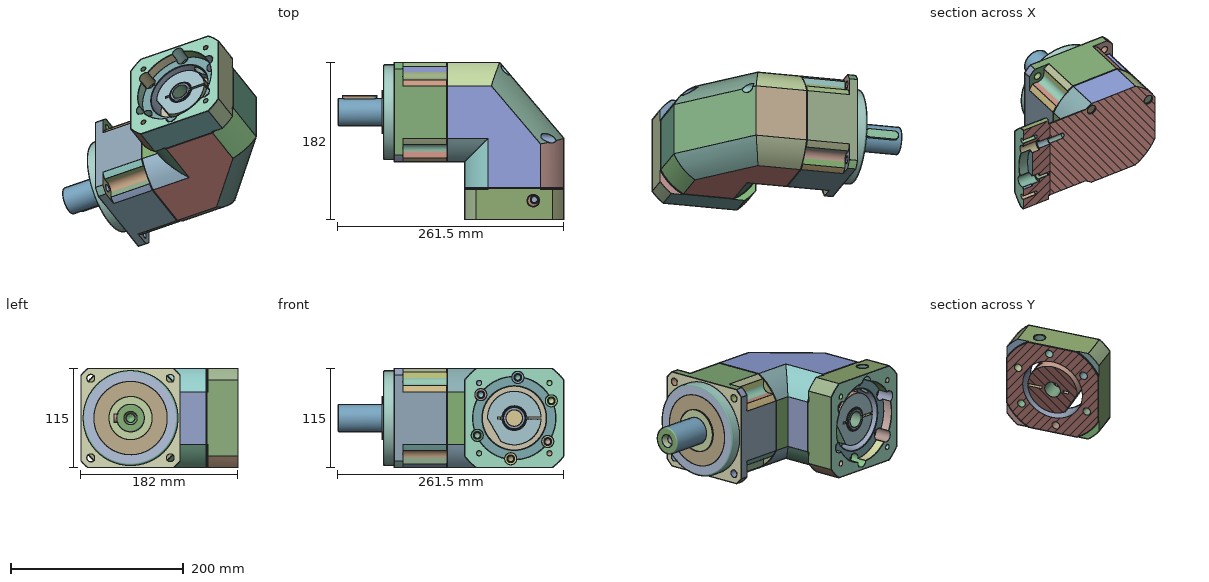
import cadquery as cq
import math


HALF = 57.5
BODY_RADIUS = 65.0
FLANGE_RADIUS = 76.0
ADAPTER_RADIUS = 72.5
EDGE_CHAMFER = 0.5
FACE_CHAMFER = 0.3

SHAFT_TIP_X = -204.0
SHOULDER_X = SHAFT_TIP_X + 51.0
PILOT_X = SHAFT_TIP_X + 52.5
FLANGE_X = SHAFT_TIP_X + 65.0
FLANGE_BACK_X = FLANGE_X + 10.0
JOINT_X = SHAFT_TIP_X + 126.0

JOINT_Y = -88.0
FRONT_Y = -124.5

SHAFT_RADIUS = 16.0
SHAFT_FILLET = 1.5
SHOULDER_RADIUS = 25.0
SHAFT_END_X = FLANGE_BACK_X
CENTRE_MOUTH_RADIUS = 7.7
CENTRE_MOUTH_DEPTH = 2.1
CENTRE_TAPER_RADIUS = 6.8
CENTRE_TAPER_END = 7.0
CENTRE_THREAD_RADIUS = 5.1
CENTRE_THREAD_DEPTH = 28.0
KEY_LENGTH = 40.0
KEY_WIDTH = 10.0
KEY_START = 5.0
KEY_SEAT = 11.0
KEY_TOP = 19.0

PILOT_RADIUS = 55.0
PILOT_FILLET = 2.0
SEAL_RECESS_RADIUS = 42.5
SEAL_RECESS_DEPTH = 0.2
BOLT_OFFSET = 46.0
BOLT_HOLE_RADIUS = 4.5
BOLT_POCKET_RADIUS = 8.5

SLANT_START = (-16.8, HALF)
SLANT_END = (HALF, -30.2)
SLANT_RADIUS = 67.6
SLANT_CORNER = -0.6
BACK_BORE_RADIUS = 5.5
BACK_BORE_CIRCLE = 57.0
BACK_BORE_ANGLES = (32.0, 122.0)
BACK_BORE_FLOOR_X = -40.0
TAPPED_RADIUS = 3.4
TAPPED_DEPTH = 18.0

ADAPTER_NECK = 1.4
MOTOR_PILOT_RADIUS = 48.0
MOTOR_PILOT_DEPTH = 12.0
CLAMP_SPACE_RADIUS = 37.0
SCREW_CIRCLE = 47.3
SCREW_COUNT = 6
SCREW_START_ANGLE = 25.0
SCREW_HEAD_RADIUS = 7.0
SCREW_HEAD_DEPTH = 22.0
SCREW_HOLE_RADIUS = 4.5
MOTOR_HOLE_OFFSET = 40.7
MOTOR_HOLE_RADIUS = 3.0
MOTOR_HOLE_DEPTH = 18.0
ACCESS_X = 22.0
ACCESS_Y = -102.5
ACCESS_RADIUS = 6.6
ACCESS_CHAMFER = 0.6

CLAMP_RADIUS = 31.0
CLAMP_FACE_Y = -109.8
CLAMP_FLAT_ANGLE = 210.0
CLAMP_FLAT_HALF_SPAN = math.radians(30)
CLAMP_FLAT_DISTANCE = CLAMP_RADIUS * math.cos(CLAMP_FLAT_HALF_SPAN)
CLAMP_SLIT = 2.5
CLAMP_SLIT_REACH = 19.7
CLAMP_SCREW_X = 23.2
CLAMP_SCREW_Y = -101.3
CLAMP_SCREW_RADIUS = 3.6
CLAMP_HEAD_RADIUS = 4.6
CLAMP_HEAD_FLOOR_Z = 10.0
STEM_RADIUS = 15.8
STEM_END_Y = -60.0
SLEEVE_RADIUS = 13.3
SLEEVE_CHAMFER = 1.0
SLEEVE_FACE_Y = -111.2
HUB_BORE_RADIUS = 9.5
HUB_BORE_DEPTH = 40.0

DRILL_POINT_ANGLE = math.radians(59)
CUT_MARGIN = 5.0


def x_plane(x):
    """Plane across the output axis, facing +X, with local axes along Y and Z."""
    return cq.Workplane("YZ", origin=(x, 0, 0))


def y_plane(y):
    """Plane across the input axis, facing -Y, with local axes along X and Z."""
    return cq.Workplane("XZ", origin=(0, y, 0))


def turned_square(plane, length, radius):
    """Square bar whose corners are turned down to the given radius."""
    bar = plane.rect(2 * HALF, 2 * HALF).extrude(length)
    return bar.intersect(plane.circle(radius).extrude(length))


def drill(plane, points, radius, depth):
    """Blind holes with conical bottoms, drilled against the plane's normal."""
    tip = radius / math.tan(DRILL_POINT_ANGLE)
    normal = plane.plane.zDir
    holes = []
    for x, y in points:
        start = plane.plane.toWorldCoords((x, y, 0))
        bottom = plane.plane.toWorldCoords((x, y, -depth))
        hole = cq.Solid.makeCylinder(radius, depth, start, -normal)
        cone = cq.Solid.makeCone(radius, 0, tip, bottom, -normal)
        holes.append(hole.fuse(cone))
    return cq.Workplane(cq.Compound.makeCompound(holes))


def mouth_cone(y, radius, chamfer):
    """Cutter for a 45 degree chamfer at the -Y mouth of a bore on the input axis."""
    start = cq.Vector(0, y, 0)
    return cq.Workplane(cq.Solid.makeCone(radius + chamfer, radius, chamfer, start, cq.Vector(0, 1, 0)))


def square_points(offset):
    return [(x, y) for x in (-offset, offset) for y in (-offset, offset)]


def circle_points(radius, angles):
    return [(radius * math.cos(math.radians(a)), radius * math.sin(math.radians(a))) for a in angles]


SCREW_ANGLES = [SCREW_START_ANGLE + i * 360 / SCREW_COUNT for i in range(SCREW_COUNT)]
SCREW_POINTS = circle_points(SCREW_CIRCLE, SCREW_ANGLES)


def make_key():
    centre_x = SHAFT_TIP_X + KEY_START + KEY_LENGTH / 2
    plane = cq.Workplane("XZ", origin=(centre_x, KEY_TOP, 0))
    return plane.slot2D(KEY_LENGTH, KEY_WIDTH).extrude(KEY_TOP - KEY_SEAT)


def make_shaft(key):
    shaft = x_plane(SHAFT_TIP_X).circle(SHAFT_RADIUS).extrude(SHAFT_END_X - SHAFT_TIP_X)
    shaft = shaft.faces("<X").fillet(SHAFT_FILLET)
    shaft = shaft.union(x_plane(SHOULDER_X).circle(SHOULDER_RADIUS).extrude(SHAFT_END_X - SHOULDER_X))
    thread_end = SHAFT_TIP_X + CENTRE_THREAD_DEPTH
    centre_hole = (
        cq.Workplane("XY")
        .moveTo(SHAFT_TIP_X, 0)
        .lineTo(SHAFT_TIP_X, CENTRE_MOUTH_RADIUS)
        .lineTo(SHAFT_TIP_X + CENTRE_MOUTH_DEPTH, CENTRE_TAPER_RADIUS)
        .lineTo(SHAFT_TIP_X + CENTRE_TAPER_END, CENTRE_THREAD_RADIUS)
        .lineTo(thread_end, CENTRE_THREAD_RADIUS)
        .lineTo(thread_end + CENTRE_THREAD_RADIUS / math.tan(DRILL_POINT_ANGLE), 0)
        .close()
        .revolve(360, (0, 0, 0), (1, 0, 0))
    )
    return shaft.cut(centre_hole).cut(key)


def bolt_pocket():
    """Corner pocket behind one flange bolt: square walls with a round inner corner."""
    wall = BOLT_OFFSET - BOLT_POCKET_RADIUS
    arc_middle = BOLT_OFFSET - BOLT_POCKET_RADIUS * math.sqrt(0.5)
    outside = HALF + CUT_MARGIN
    return (
        x_plane(FLANGE_BACK_X)
        .moveTo(BOLT_OFFSET, wall)
        .lineTo(outside, wall)
        .lineTo(outside, outside)
        .lineTo(wall, outside)
        .lineTo(wall, BOLT_OFFSET)
        .threePointArc((arc_middle, arc_middle), (BOLT_OFFSET, wall))
        .close()
        .extrude(JOINT_X - FLANGE_BACK_X)
    )


def make_output_housing():
    flange = turned_square(x_plane(FLANGE_X), FLANGE_BACK_X - FLANGE_X, FLANGE_RADIUS)
    flange = flange.faces("<X").chamfer(FACE_CHAMFER)
    barrel = turned_square(x_plane(FLANGE_BACK_X), JOINT_X - FLANGE_BACK_X, BODY_RADIUS)
    barrel = barrel.faces(">X").chamfer(EDGE_CHAMFER)
    pilot = x_plane(PILOT_X).circle(PILOT_RADIUS).extrude(FLANGE_X - PILOT_X)
    pilot = pilot.faces("<X").fillet(PILOT_FILLET)
    pilot = pilot.cut(x_plane(PILOT_X).circle(SEAL_RECESS_RADIUS).extrude(SEAL_RECESS_DEPTH))
    housing = barrel.union(flange).union(pilot)

    for i in range(4):
        housing = housing.cut(bolt_pocket().rotate((0, 0, 0), (1, 0, 0), 90 * i))
    bolt_holes = x_plane(FLANGE_X).pushPoints(square_points(BOLT_OFFSET)).circle(BOLT_HOLE_RADIUS)
    housing = housing.cut(bolt_holes.extrude(FLANGE_BACK_X - FLANGE_X))
    shaft_bore = x_plane(PILOT_X).circle(SHOULDER_RADIUS).extrude(SHAFT_END_X - PILOT_X)
    return housing.cut(shaft_bore)


def rounded_side(outward, centre, radius, reach):
    """Long slab of full height whose side towards `outward` is flat at `reach` and
    has its top and bottom edges rounded about an axis at distance `centre`."""
    length = 8 * HALF
    run = cq.Vector(-outward[1], outward[0], 0)
    start = run * (-length / 2)
    plane = cq.Plane(origin=start.toTuple(), xDir=(outward[0], outward[1], 0), normal=run.toTuple())
    corner = centre + math.sqrt(radius**2 - HALF**2)
    flat_height = math.sqrt(radius**2 - (reach - centre) ** 2)
    middle_angle = (math.asin(HALF / radius) + math.asin(flat_height / radius)) / 2
    middle = (centre + radius * math.cos(middle_angle), radius * math.sin(middle_angle))
    return (
        cq.Workplane(plane)
        .moveTo(-length, HALF)
        .lineTo(corner, HALF)
        .threePointArc(middle, (reach, flat_height))
        .lineTo(reach, -flat_height)
        .threePointArc((middle[0], -middle[1]), (corner, -HALF))
        .lineTo(-length, -HALF)
        .close()
        .extrude(length)
    )


def make_elbow():
    elbow = rounded_side((0, -1), 0, BODY_RADIUS, HALF).union(rounded_side((-1, 0), 0, BODY_RADIUS, HALF))
    elbow = elbow.intersect(rounded_side((0, 1), 0, BODY_RADIUS, HALF))
    elbow = elbow.intersect(rounded_side((1, 0), 0, BODY_RADIUS, HALF))
    slant_x = SLANT_END[0] - SLANT_START[0]
    slant_y = SLANT_END[1] - SLANT_START[1]
    slant_length = math.hypot(slant_x, slant_y)
    outward = (-slant_y / slant_length, slant_x / slant_length)
    reach = outward[0] * SLANT_START[0] + outward[1] * SLANT_START[1]
    slant_centre = SLANT_CORNER - math.sqrt(SLANT_RADIUS**2 - HALF**2)
    elbow = elbow.intersect(rounded_side(outward, slant_centre, SLANT_RADIUS, reach))
    ends = cq.Workplane("XY").box(HALF - JOINT_X, HALF - JOINT_Y, 2 * HALF)
    elbow = elbow.intersect(ends.translate(((HALF + JOINT_X) / 2, (HALF + JOINT_Y) / 2, 0)))
    elbow = elbow.faces("<X").chamfer(EDGE_CHAMFER)
    elbow = elbow.faces("<Y").chamfer(EDGE_CHAMFER)

    back_bores = x_plane(BACK_BORE_FLOOR_X).pushPoints(circle_points(BACK_BORE_CIRCLE, BACK_BORE_ANGLES))
    elbow = elbow.cut(back_bores.circle(BACK_BORE_RADIUS).extrude(3 * HALF))
    elbow = elbow.cut(drill(y_plane(JOINT_Y), SCREW_POINTS, TAPPED_RADIUS, TAPPED_DEPTH))
    hub_seat = y_plane(STEM_END_Y).circle(STEM_RADIUS).extrude(STEM_END_Y - JOINT_Y)
    return elbow.cut(hub_seat)


def make_adapter():
    height = JOINT_Y - FRONT_Y
    neck = turned_square(y_plane(JOINT_Y), ADAPTER_NECK, BODY_RADIUS)
    neck = neck.faces(">Y").chamfer(EDGE_CHAMFER)
    adapter = turned_square(y_plane(JOINT_Y - ADAPTER_NECK), height - ADAPTER_NECK, ADAPTER_RADIUS)
    adapter = adapter.faces("<Y").chamfer(FACE_CHAMFER).union(neck)
    adapter = adapter.cut(y_plane(FRONT_Y).circle(MOTOR_PILOT_RADIUS).extrude(-MOTOR_PILOT_DEPTH))
    adapter = adapter.cut(y_plane(JOINT_Y).circle(CLAMP_SPACE_RADIUS).extrude(height))
    adapter = adapter.cut(mouth_cone(FRONT_Y, MOTOR_PILOT_RADIUS, FACE_CHAMFER))
    adapter = adapter.cut(mouth_cone(FRONT_Y + MOTOR_PILOT_DEPTH, CLAMP_SPACE_RADIUS, EDGE_CHAMFER))
    adapter = adapter.cut(
        y_plane(FRONT_Y).pushPoints(SCREW_POINTS).circle(SCREW_HEAD_RADIUS).extrude(-SCREW_HEAD_DEPTH)
    )
    adapter = adapter.cut(y_plane(JOINT_Y).pushPoints(SCREW_POINTS).circle(SCREW_HOLE_RADIUS).extrude(height))
    motor_holes = square_points(MOTOR_HOLE_OFFSET)
    adapter = adapter.cut(drill(y_plane(FRONT_Y), motor_holes, MOTOR_HOLE_RADIUS, MOTOR_HOLE_DEPTH))
    access_axis = cq.Workplane("XY").center(ACCESS_X, ACCESS_Y)
    access = access_axis.circle(ACCESS_RADIUS).extrude(HALF)
    access_mouth = access_axis.workplane(offset=HALF).circle(ACCESS_RADIUS + ACCESS_CHAMFER)
    access_mouth = access_mouth.extrude(-ACCESS_CHAMFER, taper=45)
    return adapter.cut(access).cut(access_mouth)


def make_hub():
    thickness = JOINT_Y - CLAMP_FACE_Y
    clamp = y_plane(JOINT_Y).circle(CLAMP_RADIUS).extrude(thickness)
    flat_cut = (
        y_plane(JOINT_Y)
        .transformed(rotate=(0, 0, CLAMP_FLAT_ANGLE))
        .center(CLAMP_FLAT_DISTANCE + CLAMP_RADIUS, 0)
        .rect(2 * CLAMP_RADIUS, 2 * CLAMP_RADIUS)
        .extrude(thickness)
    )
    clamp = clamp.cut(flat_cut)
    slit_length = CLAMP_SLIT_REACH + CLAMP_RADIUS + CUT_MARGIN
    slit = y_plane(JOINT_Y).center(slit_length / 2 - CLAMP_SLIT_REACH, 0).rect(slit_length, CLAMP_SLIT)
    clamp = clamp.cut(slit.extrude(thickness))
    screw_axis = cq.Workplane("XY").center(CLAMP_SCREW_X, CLAMP_SCREW_Y)
    clamp = clamp.cut(screw_axis.circle(CLAMP_SCREW_RADIUS).extrude(CLAMP_RADIUS, both=True))
    head_bore = screw_axis.workplane(offset=CLAMP_HEAD_FLOOR_Z).circle(CLAMP_HEAD_RADIUS)
    clamp = clamp.cut(head_bore.extrude(CLAMP_RADIUS))
    clamp = clamp.cut(mouth_cone(CLAMP_FACE_Y, SLEEVE_RADIUS, SLEEVE_CHAMFER))

    sleeve = y_plane(JOINT_Y).circle(SLEEVE_RADIUS).extrude(JOINT_Y - SLEEVE_FACE_Y)
    sleeve = sleeve.faces("<Y").chamfer(SLEEVE_CHAMFER)
    stem = y_plane(STEM_END_Y).circle(STEM_RADIUS).extrude(STEM_END_Y - JOINT_Y)
    hub = clamp.union(sleeve).union(stem)
    return hub.cut(y_plane(SLEEVE_FACE_Y).circle(HUB_BORE_RADIUS).extrude(-HUB_BORE_DEPTH))


key = make_key()
shaft = make_shaft(key)
output_housing = make_output_housing()
hub = make_hub()
elbow = make_elbow()
adapter = make_adapter()

result = cq.Compound.makeCompound(
    [shaft.val(), key.val(), output_housing.val(), elbow.val(), adapter.val(), hub.val()]
)